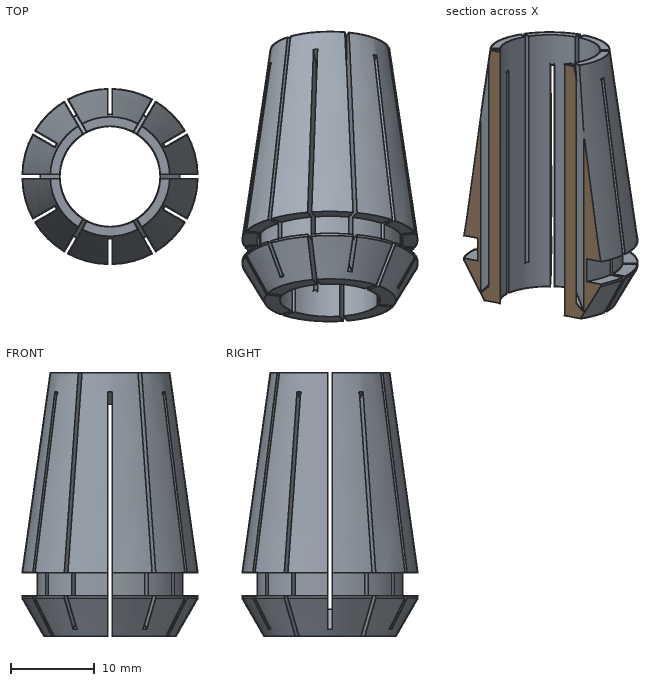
import cadquery as cq
import math

length = 31.5
max_radius = 10.5
bore_radius = 6.0

collar_bottom = 4.57
groove_bottom = 4.85
groove_top = 7.62
groove_radius = 8.7

body_taper = 8.0
nose_taper = 30.0

slot_width = 0.5
slots_per_set = 6
slot_pitch = 360.0 / slots_per_set
slot_floor_angle = 45.0
nose_slot_floor_at_bore = 27.72
top_slot_floor_at_bore = 3.25
overshoot = 1.58

top_radius = max_radius - (length - groove_top) * math.tan(math.radians(body_taper))
nose_radius = max_radius - collar_bottom * math.tan(math.radians(nose_taper))


def collet_blank():
    """Revolve the hollow wall: nose cone, collar, groove and tapered body."""
    wall = [
        (bore_radius, 0),
        (nose_radius, 0),
        (max_radius, collar_bottom),
        (max_radius, groove_bottom),
        (groove_radius, groove_bottom),
        (groove_radius, groove_top),
        (max_radius, groove_top),
        (top_radius, length),
        (bore_radius, length),
    ]
    return cq.Workplane("XZ").polyline(wall).close().revolve(360, (0, 0), (0, 1))


def slot_cutter(floor_at_bore, open_end, rise):
    """Thin radial blade along +X; its sloped floor rises by `rise` per unit of radius."""
    inner = bore_radius - overshoot
    outer = max_radius + overshoot
    blade = [
        (inner, floor_at_bore + (inner - bore_radius) * rise),
        (outer, floor_at_bore + (outer - bore_radius) * rise),
        (outer, open_end),
        (inner, open_end),
    ]
    return cq.Workplane("XZ").polyline(blade).close().extrude(slot_width / 2, both=True)


def cut_slot_set(body, cutter, start_angle):
    for index in range(slots_per_set):
        angle = start_angle + index * slot_pitch
        body = body.cut(cutter.rotate((0, 0, 0), (0, 0, 1), angle))
    return body


floor_rise = math.tan(math.radians(slot_floor_angle))
nose_slot = slot_cutter(nose_slot_floor_at_bore, -overshoot, floor_rise)
top_slot = slot_cutter(top_slot_floor_at_bore, length + overshoot, -floor_rise)

result = collet_blank()
result = cut_slot_set(result, top_slot, 0)
result = cut_slot_set(result, nose_slot, slot_pitch / 2)